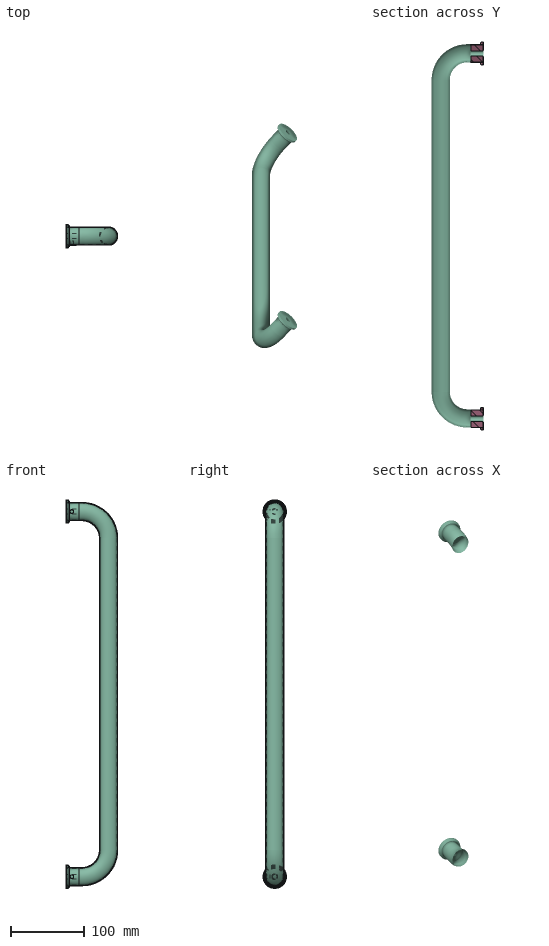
import cadquery as cq
import math

leg_spacing = 500.0
handle_depth = 71.0
leg_heights = (-leg_spacing / 2, leg_spacing / 2)

base_radius = 16.0
base_thickness = 3.0
base_floor = 1.0
cup_radius = 15.2
fixing_hole_radius = 4.0

tube_radius = 12.5
tube_wall = 1.0
tube_bore_radius = tube_radius - tube_wall
bend_radius = 36.5
bar_axis_x = handle_depth - tube_radius
bend_start_x = bar_axis_x - bend_radius

cover_bevel_height = 2.0
cover_bevel_angle = 45.0
cover_end_x = base_thickness + cover_bevel_height

plug_end_x = 17.7
plug_hole_radius = 3.3

screw_radius = 2.5
screw_x = 8.3
screw_length = 6.0


def disc(radius, start_x, end_x, z):
    """Cylinder along X centred on a leg."""
    return cq.Workplane("YZ", origin=(start_x, 0, z)).circle(radius).extrude(end_x - start_x)


def screw_cylinder(z):
    """Cylinder running inward from the -Y side of the tube."""
    plane = cq.Workplane("XZ", origin=(screw_x, -tube_radius, z))
    return plane.circle(screw_radius).extrude(-screw_length)


def make_tube():
    leg_z = leg_spacing / 2
    bar_end_z = leg_z - bend_radius
    bend_middle = bend_radius * math.sqrt(0.5)
    bend_middle_x = bend_start_x + bend_middle
    bend_middle_z = bar_end_z + bend_middle
    path = (
        cq.Workplane("XZ")
        .moveTo(base_floor, -leg_z)
        .lineTo(bend_start_x, -leg_z)
        .threePointArc((bend_middle_x, -bend_middle_z), (bar_axis_x, -bar_end_z))
        .lineTo(bar_axis_x, bar_end_z)
        .threePointArc((bend_middle_x, bend_middle_z), (bend_start_x, leg_z))
        .lineTo(base_floor, leg_z)
    )
    profile = cq.Workplane("YZ", origin=(base_floor, 0, -leg_z))
    tube = profile.circle(tube_radius).circle(tube_bore_radius).sweep(path)
    for z in leg_heights:
        tube = tube.cut(screw_cylinder(z))
    return tube


def make_base(z):
    base = disc(base_radius, 0, base_thickness, z)
    base = base.cut(disc(cup_radius, base_floor, base_thickness, z))
    return base.cut(disc(fixing_hole_radius, 0, base_floor, z))


def make_cover(z):
    front = cq.Workplane("YZ", origin=(base_thickness, 0, z)).circle(base_radius)
    cover = front.extrude(cover_bevel_height, taper=cover_bevel_angle)
    cover = cover.union(disc(cup_radius, base_floor, base_thickness, z))
    return cover.cut(disc(tube_radius, base_floor, cover_end_x, z))


def make_plug(z):
    plug = disc(tube_bore_radius, base_floor, plug_end_x, z)
    plug = plug.cut(disc(plug_hole_radius, base_floor, plug_end_x, z))
    return plug.cut(screw_cylinder(z))


def make_set_screw(z):
    return screw_cylinder(z).intersect(disc(tube_radius, base_floor, plug_end_x, z))


bodies = [make_tube().solids().val()]
for height in leg_heights:
    bodies.append(make_base(height).solids().val())
    bodies.append(make_cover(height).solids().val())
    bodies.append(make_plug(height).solids().val())
    bodies.append(make_set_screw(height).solids().val())

result = cq.Compound.makeCompound(bodies)